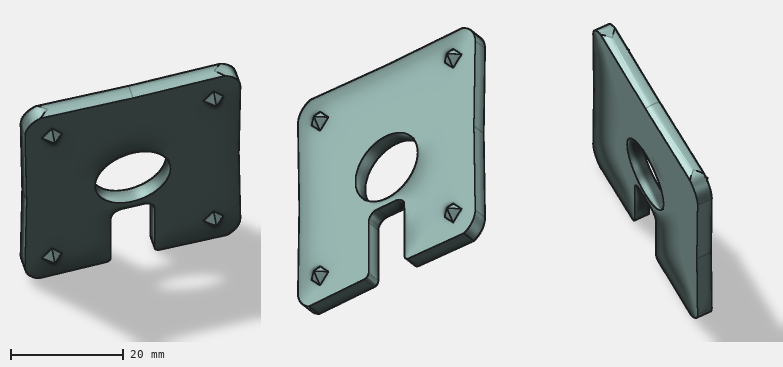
import cadquery as cq
import math

thickness = 2.9
half_width = 20.0
waist_depth = 0.3
corner_radius = 4.5
corner_y = half_width - corner_radius
corner_z = 19.0

bottom_z = -23.06
bottom_rise = 0.3
clearance_z = 2 * bottom_z

crown_z = 23.22
crown_slope = 0.0180
crown_sag = 0.32

hole_diameter = 14.0
slot_width = 8.1
slot_top_z = -8.5
slot_top_radius = 2.0
slot_mouth_radius = 1.0

spike_height = 1.8
spike_y = 15.0
spike_z = 17.35
spike_half_width = 1.92
spike_half_height = 2.16


def make_blank():
    """Waisted plate with rounded corners and a shallow V along the bottom."""
    top_z = corner_z + corner_radius
    diagonal = corner_radius * math.sqrt(0.5)
    waist_y = half_width - waist_depth

    drop = -corner_z - bottom_z
    foot_angle = math.asin(drop / corner_radius)
    foot_y = corner_y + corner_radius * math.cos(foot_angle)
    mid_y = corner_y + corner_radius * math.cos(foot_angle / 2)
    mid_z = -corner_z - corner_radius * math.sin(foot_angle / 2)

    return (
        cq.Workplane("YZ")
        .moveTo(0, bottom_z + bottom_rise)
        .lineTo(foot_y, bottom_z)
        .threePointArc((mid_y, mid_z), (half_width, -corner_z))
        .lineTo(waist_y, 0)
        .lineTo(half_width, corner_z)
        .threePointArc((corner_y + diagonal, corner_z + diagonal), (corner_y, top_z))
        .lineTo(-corner_y, top_z)
        .threePointArc((-corner_y - diagonal, corner_z + diagonal), (-half_width, corner_z))
        .lineTo(-waist_y, 0)
        .lineTo(-half_width, -corner_z)
        .threePointArc((-mid_y, mid_z), (-foot_y, bottom_z))
        .close()
        .extrude(thickness)
    )


def make_crown_half(side):
    """Space below the crowned top edge on one side (+1 or -1) of mid width."""
    reach = half_width + corner_radius
    edge_z = crown_z - crown_sag
    profile = (
        cq.Workplane("XZ")
        .moveTo(0, clearance_z)
        .lineTo(0, edge_z)
        .threePointArc((thickness / 2, crown_z), (thickness, edge_z))
        .lineTo(thickness, clearance_z)
        .close()
        .val()
    )
    direction = cq.Vector(0, side * reach, crown_slope * reach)
    return cq.Workplane(cq.Solid.extrudeLinear(profile, [], direction))


def make_slot():
    """Slot open at the bottom edge, with rounded inner corners."""
    slot_height = slot_top_z - clearance_z
    return (
        cq.Workplane("XY")
        .box(thickness, slot_width, slot_height, centered=(False, True, False))
        .translate((0, 0, clearance_z))
        .faces(">Z")
        .edges("|X")
        .fillet(slot_top_radius)
    )


def round_slot_mouth(plate):
    """Round the two edges where the slot walls meet the bottom edge."""
    reach = slot_width / 2 + slot_mouth_radius
    mouth = cq.selectors.BoxSelector(
        (0, -reach, bottom_z - bottom_rise),
        (thickness, reach, bottom_z + 2 * bottom_rise),
    )
    return plate.edges("|X").edges(mouth).fillet(slot_mouth_radius)


def make_spike(y, z):
    """Four-sided pyramid with its base corners along Y and Z."""
    base_corners = [
        cq.Vector(thickness, y + spike_half_width, z),
        cq.Vector(thickness, y, z + spike_half_height),
        cq.Vector(thickness, y - spike_half_width, z),
        cq.Vector(thickness, y, z - spike_half_height),
    ]
    tip = cq.Vector(thickness + spike_height, y, z)
    faces = [cq.Face.makeFromWires(cq.Wire.makePolygon(base_corners, close=True))]
    for index, corner in enumerate(base_corners):
        previous = base_corners[index - 1]
        side = cq.Wire.makePolygon([previous, corner, tip], close=True)
        faces.append(cq.Face.makeFromWires(side))
    return cq.Workplane(cq.Solid.makeSolid(cq.Shell.makeShell(faces)))


crown_space = make_crown_half(1).union(make_crown_half(-1))
hole = cq.Workplane("YZ").circle(hole_diameter / 2).extrude(thickness)

plate = make_blank().cut(make_slot())
plate = round_slot_mouth(plate)
plate = plate.cut(hole).intersect(crown_space)

for y in (-spike_y, spike_y):
    for z in (-spike_z, spike_z):
        plate = plate.union(make_spike(y, z))

result = plate